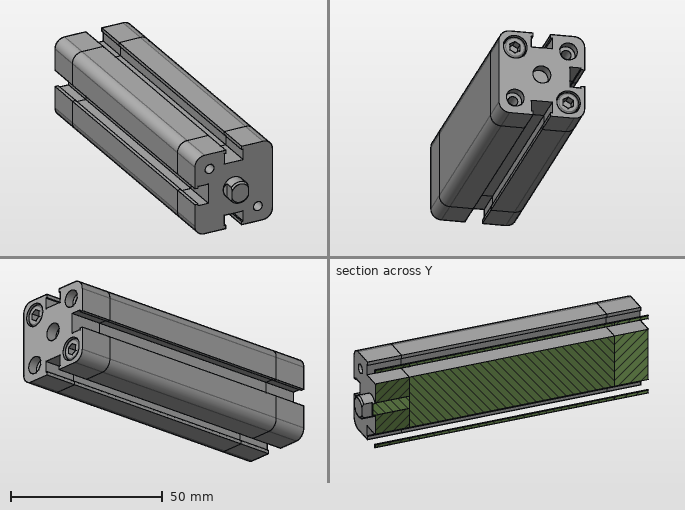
import cadquery as cq
import math


TOTAL_LENGTH = 102.5
SIDE = 29.0
CORNER_RADIUS = 3.6
CAP_LENGTH = 12.2
ROD_PROTRUSION = 4.6
HOUSING_LENGTH = TOTAL_LENGTH - ROD_PROTRUSION
BARREL_LENGTH = HOUSING_LENGTH - 2 * CAP_LENGTH
FRONT_CAP_START = CAP_LENGTH + BARREL_LENGTH

SLOT_MOUTH_WIDTH = 5.9
SLOT_INNER_WIDTH = 7.1
SLOT_DEPTH = 5.0
SLOT_LIP = 1.2
SLOT_ANGLES = (0, 90, 180)

BOLT_OFFSET = 9.0
MOUNTING_HOLE_CENTRES = [(-BOLT_OFFSET, BOLT_OFFSET), (BOLT_OFFSET, -BOLT_OFFSET)]
SCREW_CENTRES = [(BOLT_OFFSET, BOLT_OFFSET), (-BOLT_OFFSET, -BOLT_OFFSET)]
MOUNTING_HOLE_DIAMETER = 3.3
MOUNTING_BORE_DIAMETER = 5.9
MOUNTING_BORE_DEPTH = 3.4
CENTRE_BORE_DIAMETER = 6.0
CENTRE_BORE_DEPTH = 4.0

SCREW_BORE_DIAMETER = 8.0
SCREW_HEAD_DIAMETER = 7.4
SCREW_HEAD_HEIGHT = 4.0
SCREW_RECESS = 0.4
SCREW_BORE_DEPTH = SCREW_RECESS + SCREW_HEAD_HEIGHT
SCREW_EDGE_RADIUS = 0.5
SOCKET_ACROSS_FLATS = 3.5
SOCKET_DEPTH = 3.5

ROD_DIAMETER = 7.9
ROD_CHAMFER = 0.6
ROD_ACROSS_FLATS = 6.0
FLAT_DEPTH = (ROD_DIAMETER - ROD_ACROSS_FLATS) / 2
SHOULDER_END = 1.0
FLAT_START = HOUSING_LENGTH + SHOULDER_END


def cylinder_along_x(x_start, length, diameter, centre=(0, 0)):
    """A cylinder running in +X, centred at (Y, Z)."""
    return cq.Workplane("YZ", origin=(x_start, 0, 0)).center(*centre).circle(diameter / 2).extrude(length)


def sensor_slot(length, angle):
    """The space of one stepped slot, turned about X from the +Z side."""
    top = SIDE / 2
    half_mouth = SLOT_MOUTH_WIDTH / 2
    half_inner = SLOT_INNER_WIDTH / 2
    outline = [
        (-half_mouth, top),
        (-half_mouth, top - SLOT_LIP),
        (-half_inner, top - SLOT_LIP),
        (-half_inner, top - SLOT_DEPTH),
        (half_inner, top - SLOT_DEPTH),
        (half_inner, top - SLOT_LIP),
        (half_mouth, top - SLOT_LIP),
        (half_mouth, top),
    ]
    slot = cq.Workplane("YZ").polyline(outline).close().extrude(length)
    return slot.rotate((0, 0, 0), (1, 0, 0), angle)


def housing_section(x_start, length):
    """A length of the slotted square profile with its two mounting holes."""
    section = cq.Workplane("YZ").rect(SIDE, SIDE).extrude(length).edges("|X").fillet(CORNER_RADIUS)
    for angle in SLOT_ANGLES:
        section = section.cut(sensor_slot(length, angle))
    for centre in MOUNTING_HOLE_CENTRES:
        section = section.cut(cylinder_along_x(0, length, MOUNTING_HOLE_DIAMETER, centre))
    return section.translate((x_start, 0, 0))


def screw_head(centre):
    """A socket head with a rounded rim, set slightly below the rear face."""
    head = cylinder_along_x(SCREW_RECESS, SCREW_HEAD_HEIGHT, SCREW_HEAD_DIAMETER, centre)
    head = head.faces("<X").edges().fillet(SCREW_EDGE_RADIUS)
    across_corners = SOCKET_ACROSS_FLATS / math.cos(math.pi / 6)
    socket = cq.Workplane("YZ").polygon(6, across_corners).extrude(SOCKET_DEPTH)
    socket = socket.rotate((0, 0, 0), (1, 0, 0), 90).translate((SCREW_RECESS, *centre))
    return head.cut(socket)


def make_rear_cap():
    """The rear cap, with a blind centre bore, wider mouths on the mounting holes and recessed screw heads."""
    cap = housing_section(0, CAP_LENGTH)
    cap = cap.cut(cylinder_along_x(0, CENTRE_BORE_DEPTH, CENTRE_BORE_DIAMETER))
    for centre in MOUNTING_HOLE_CENTRES:
        cap = cap.cut(cylinder_along_x(0, MOUNTING_BORE_DEPTH, MOUNTING_BORE_DIAMETER, centre))
    for centre in SCREW_CENTRES:
        cap = cap.cut(cylinder_along_x(0, SCREW_BORE_DEPTH, SCREW_BORE_DIAMETER, centre))
        cap = cap.union(screw_head(centre))
    return cap


def make_barrel():
    """The middle of the housing, crossed by the mounting holes only."""
    return housing_section(CAP_LENGTH, BARREL_LENGTH)


def make_front_cap():
    """The front cap, with a bore that carries the piston rod."""
    cap = housing_section(FRONT_CAP_START, CAP_LENGTH)
    return cap.cut(cylinder_along_x(FRONT_CAP_START, CAP_LENGTH, ROD_DIAMETER))


def make_piston_rod():
    """A rod seated on the barrel, with a chamfered end and two wrench flats on the +Y and -Y sides."""
    rod = cylinder_along_x(FRONT_CAP_START, TOTAL_LENGTH - FRONT_CAP_START, ROD_DIAMETER)
    rod = rod.faces(">X").chamfer(ROD_CHAMFER)
    flat_y = ROD_ACROSS_FLATS / 2
    rod_radius = ROD_DIAMETER / 2
    flat_outline = [
        (FLAT_START, flat_y),
        (TOTAL_LENGTH, flat_y),
        (TOTAL_LENGTH, rod_radius),
        (FLAT_START - FLAT_DEPTH, rod_radius),
    ]
    flat = cq.Workplane("XY").polyline(flat_outline).close().extrude(rod_radius, both=True)
    return rod.cut(flat).cut(flat.mirror("XZ"))


rear_cap = make_rear_cap()
barrel = make_barrel()
front_cap = make_front_cap()
piston_rod = make_piston_rod()

result = cq.Compound.makeCompound([rear_cap.val(), barrel.val(), front_cap.val(), piston_rod.val()])